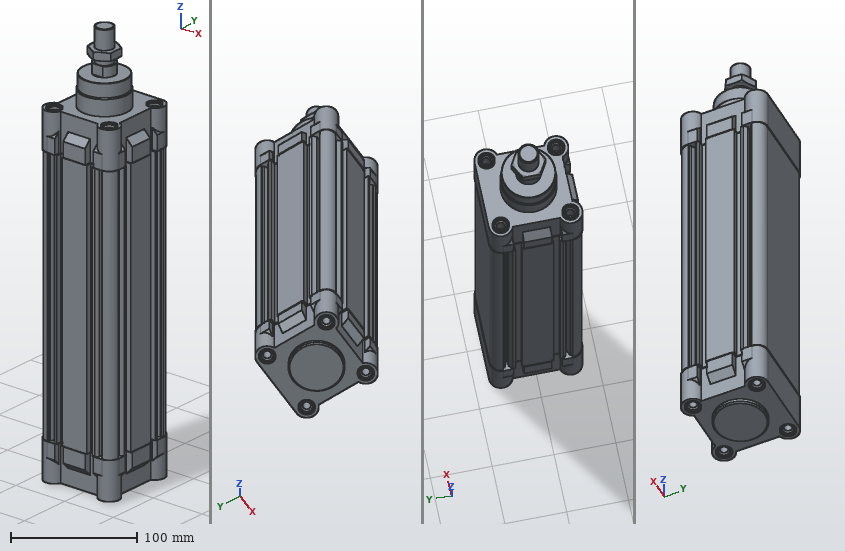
import cadquery as cq
import math

TOTAL_LENGTH = 394.0
CAP_WIDTH = 75.5
REAR_BOSS_HEIGHT = 4.0
CAP_LENGTH = 36.0
HOUSING_TOP = 325.0

SCREW_SPACING = 56.5
CAP_CORE_HALF_WIDTH = 31.5
CAP_PAD_WIDTH = 22.5
CAP_PAD_LENGTH = 20.5
CORNER_PAD_INNER = 19.7

TUBE_WIDTH = 74.5
TUBE_PAD_WIDTH = 25.2
SLOT_OUTER = 18.0
SLOT_FLOOR = 32.5
GROOVE_INNER = 20.5
GROOVE_FLOOR_INNER = 23.2
GROOVE_FLOOR_OUTER = 24.5
GROOVE_OUTER = 28.0
GROOVE_WALL_TOP = 26.5
GROOVE_STEP_DEPTH = 2.0
GROOVE_FLOOR = 30.7
GROOVE_BEVEL_DEPTH = 2.8

COLLAR_DIAMETER = 45.0
COLLAR_NECK_DIAMETER = 43.0
COLLAR_STEP = 15.8
COLLAR_HEIGHT = 28.5
COLLAR_RIM_CHAMFER = 0.5
COLLAR_CHAMFER = (COLLAR_DIAMETER - COLLAR_NECK_DIAMETER) / 2
REAR_BOSS_CHAMFER = 1.0

SCREW_RECESS_DIAMETER = 13.5
SCREW_RECESS_DEPTH = 0.8
SCREW_STEP_DIAMETER = 12.0
SCREW_STEP_DEPTH = 1.5
SCREW_HOLE_DIAMETER = 6.7
SCREW_HOLE_DEPTH = 15.8
SCREW_COUNTERSINK_DIAMETER = 9.5
DRILL_POINT_ANGLE = 118.0

ROD_DIAMETER = 20.0
ROD_FLATS = 17.0
THREAD_DIAMETER = 16.0
THREAD_LENGTH = 31.0
THREAD_TIP_DIAMETER = 14.0
THREAD_TIP_HEIGHT = 0.5
NUT_ACROSS_FLATS = 24.0
NUT_THICKNESS = 7.5
NUT_BOTTOM = 368.5
NUT_CHAMFER_ANGLE = 15.0

CAP_HALF = CAP_WIDTH / 2
TUBE_HALF = TUBE_WIDTH / 2
SCREW_OFFSET = SCREW_SPACING / 2
COLUMN_RADIUS = CAP_HALF - SCREW_OFFSET
TUBE_CORNER_RADIUS = TUBE_HALF - SCREW_OFFSET
TUBE_BOTTOM = REAR_BOSS_HEIGHT + CAP_LENGTH
TUBE_TOP = HOUSING_TOP - CAP_LENGTH
TUBE_LENGTH = TUBE_TOP - TUBE_BOTTOM
COLLAR_TOP = HOUSING_TOP + COLLAR_HEIGHT
THREAD_BOTTOM = TOTAL_LENGTH - THREAD_LENGTH
ROD_BOTTOM = TUBE_TOP
THREAD_TIP_RUN = (THREAD_DIAMETER - THREAD_TIP_DIAMETER) / 2

CORNERS = [(x, y) for x in (-SCREW_OFFSET, SCREW_OFFSET) for y in (-SCREW_OFFSET, SCREW_OFFSET)]
PROFILED_SIDES = (-90, 0, 90)


def box(x_min, x_max, y_min, y_max, height):
    """Box between the given X and Y limits, standing on Z = 0."""
    return cq.Workplane("XY").box(x_max - x_min, y_max - y_min, height, centered=False).translate(
        (x_min, y_min, 0)
    )


def turned(shape, angle):
    """Shape turned about the Z axis by the angle in degrees."""
    return shape.rotate((0, 0, 0), (0, 0, 1), angle)


def sloped_pad(x_min, x_max):
    """Pad on the -Y side that rises from Z = 0 and ends in a 45 degree slope at the core face."""
    slope_run = CAP_HALF - CAP_CORE_HALF_WIDTH
    return (
        cq.Workplane("YZ")
        .moveTo(0, 0)
        .lineTo(-CAP_HALF, 0)
        .lineTo(-CAP_HALF, CAP_PAD_LENGTH - slope_run)
        .lineTo(-CAP_CORE_HALF_WIDTH, CAP_PAD_LENGTH)
        .lineTo(0, CAP_PAD_LENGTH)
        .close()
        .extrude(x_max - x_min)
        .translate((x_min, 0, 0))
    )


def screw_recess():
    """Stepped recess with a countersunk, drilled hole, going down from Z = 0."""
    hole_radius = SCREW_HOLE_DIAMETER / 2
    countersink_radius = SCREW_COUNTERSINK_DIAMETER / 2
    cone_height = hole_radius / math.tan(math.radians(DRILL_POINT_ANGLE / 2))
    return (
        cq.Workplane("XZ")
        .moveTo(0, 0)
        .lineTo(SCREW_RECESS_DIAMETER / 2, 0)
        .lineTo(SCREW_RECESS_DIAMETER / 2, -SCREW_RECESS_DEPTH)
        .lineTo(SCREW_STEP_DIAMETER / 2, -SCREW_RECESS_DEPTH)
        .lineTo(SCREW_STEP_DIAMETER / 2, -SCREW_STEP_DEPTH)
        .lineTo(countersink_radius, -SCREW_STEP_DEPTH)
        .lineTo(hole_radius, -SCREW_STEP_DEPTH - countersink_radius + hole_radius)
        .lineTo(hole_radius, -SCREW_HOLE_DEPTH)
        .lineTo(0, -SCREW_HOLE_DEPTH - cone_height)
        .close()
        .revolve(360, (0, 0, 0), (0, 1, 0))
    )


def end_cap():
    """Cap standing on its tube side at Z = 0, with its screw recesses at the top."""
    core = box(-CAP_CORE_HALF_WIDTH, CAP_CORE_HALF_WIDTH, -CAP_CORE_HALF_WIDTH, SCREW_OFFSET, CAP_LENGTH)
    plain_side = box(-SCREW_OFFSET, SCREW_OFFSET, 0, CAP_HALF, CAP_LENGTH)
    columns = cq.Workplane("XY").pushPoints(CORNERS).circle(COLUMN_RADIUS).extrude(CAP_LENGTH)
    cap = core.union(plain_side).union(columns)
    for angle in PROFILED_SIDES:
        cap = cap.union(turned(sloped_pad(-CAP_PAD_WIDTH / 2, CAP_PAD_WIDTH / 2), angle))
        cap = cap.union(turned(sloped_pad(CORNER_PAD_INNER, SCREW_OFFSET), angle))
        cap = cap.union(turned(sloped_pad(-SCREW_OFFSET, -CORNER_PAD_INNER), angle))
    for x, y in CORNERS:
        cap = cap.cut(screw_recess().translate((x, y, CAP_LENGTH)))
    return cap


def sensor_groove():
    """Groove on the -Y side, with a bevelled inner edge and a stepped, sloped outer wall."""
    return (
        cq.Workplane("XY")
        .moveTo(GROOVE_INNER, -TUBE_HALF)
        .lineTo(GROOVE_FLOOR_INNER, -TUBE_HALF + GROOVE_BEVEL_DEPTH)
        .lineTo(GROOVE_FLOOR_INNER, -GROOVE_FLOOR)
        .lineTo(GROOVE_FLOOR_OUTER, -GROOVE_FLOOR)
        .lineTo(GROOVE_WALL_TOP, -TUBE_HALF + GROOVE_STEP_DEPTH)
        .lineTo(GROOVE_OUTER, -TUBE_HALF + GROOVE_STEP_DEPTH)
        .lineTo(GROOVE_OUTER, -TUBE_HALF)
        .close()
        .extrude(TUBE_LENGTH)
    )


def tube():
    """Profiled tube standing on Z = 0."""
    profile = (
        cq.Workplane("XY")
        .rect(TUBE_WIDTH, TUBE_WIDTH)
        .extrude(TUBE_LENGTH)
        .edges("|Z")
        .fillet(TUBE_CORNER_RADIUS)
    )
    slot = box(TUBE_PAD_WIDTH / 2, SLOT_OUTER, -TUBE_HALF, -SLOT_FLOOR, TUBE_LENGTH)
    half_side = slot.union(sensor_groove())
    for angle in PROFILED_SIDES:
        profile = profile.cut(turned(half_side, angle))
        profile = profile.cut(turned(half_side.mirror("YZ"), angle))
    return profile


def front_collar():
    """Stepped collar standing on Z = 0, with a chamfer on each step."""
    wide = cq.Workplane("XY").circle(COLLAR_DIAMETER / 2).extrude(COLLAR_STEP)
    neck = cq.Workplane("XY").circle(COLLAR_NECK_DIAMETER / 2).extrude(COLLAR_HEIGHT)
    neck = neck.faces(">Z").edges().chamfer(COLLAR_RIM_CHAMFER)
    wide = wide.faces(">Z").edges().chamfer(COLLAR_CHAMFER)
    return wide.union(neck)


def rear_boss():
    """Low round boss on the rear cap, with its lower rim chamfered."""
    boss = cq.Workplane("XY").circle(COLLAR_DIAMETER / 2).extrude(REAR_BOSS_HEIGHT)
    return boss.faces("<Z").edges().chamfer(REAR_BOSS_CHAMFER)


def make_housing():
    """Tube, both end caps and their bosses, with a blind bore for the rod."""
    rear_cap = end_cap().mirror("XY").translate((0, 0, TUBE_BOTTOM))
    rod_bore = cq.Workplane("XY").workplane(offset=ROD_BOTTOM).circle(ROD_DIAMETER / 2)
    return (
        tube()
        .translate((0, 0, TUBE_BOTTOM))
        .union(end_cap().translate((0, 0, TUBE_TOP)))
        .union(rear_cap)
        .union(front_collar().translate((0, 0, HOUSING_TOP)))
        .union(rear_boss())
        .cut(rod_bore.extrude(COLLAR_TOP - ROD_BOTTOM))
    )


def make_rod():
    """Piston rod with two wrench flats above the collar and a threaded end."""
    rod = (
        cq.Workplane("XY")
        .workplane(offset=ROD_BOTTOM)
        .circle(ROD_DIAMETER / 2)
        .extrude(COLLAR_TOP - ROD_BOTTOM)
    )
    wrench_height = THREAD_BOTTOM - COLLAR_TOP
    wrench_section = cq.Workplane("XY").workplane(offset=COLLAR_TOP)
    round_part = wrench_section.circle(ROD_DIAMETER / 2).extrude(wrench_height)
    flats = wrench_section.rect(ROD_DIAMETER, ROD_FLATS).extrude(wrench_height)
    thread = cq.Workplane("XY").workplane(offset=THREAD_BOTTOM).circle(THREAD_DIAMETER / 2)
    thread = thread.extrude(THREAD_LENGTH).faces(">Z").edges().chamfer(THREAD_TIP_HEIGHT, THREAD_TIP_RUN)
    return rod.union(round_part.intersect(flats)).union(thread)


def make_nut():
    """Hexagonal nut with two flats square to X, its corners bevelled on the top and bottom."""
    across_corners = NUT_ACROSS_FLATS / math.cos(math.radians(30))
    flat_radius = NUT_ACROSS_FLATS / 2
    corner_radius = across_corners / 2
    bevel_height = (corner_radius - flat_radius) * math.tan(math.radians(NUT_CHAMFER_ANGLE))
    hexagon = (
        cq.Workplane("XY")
        .transformed(rotate=(0, 0, 90))
        .polygon(6, across_corners)
        .circle(THREAD_DIAMETER / 2)
        .extrude(NUT_THICKNESS)
    )
    bevelled_disc = (
        cq.Workplane("XZ")
        .moveTo(0, 0)
        .lineTo(flat_radius, 0)
        .lineTo(corner_radius, bevel_height)
        .lineTo(corner_radius, NUT_THICKNESS - bevel_height)
        .lineTo(flat_radius, NUT_THICKNESS)
        .lineTo(0, NUT_THICKNESS)
        .close()
        .revolve(360, (0, 0, 0), (0, 1, 0))
    )
    return hexagon.intersect(bevelled_disc).translate((0, 0, NUT_BOTTOM))


housing = make_housing()
rod = make_rod()
nut = make_nut()
result = cq.Compound.makeCompound([body.solids().val() for body in (housing, rod, nut)])